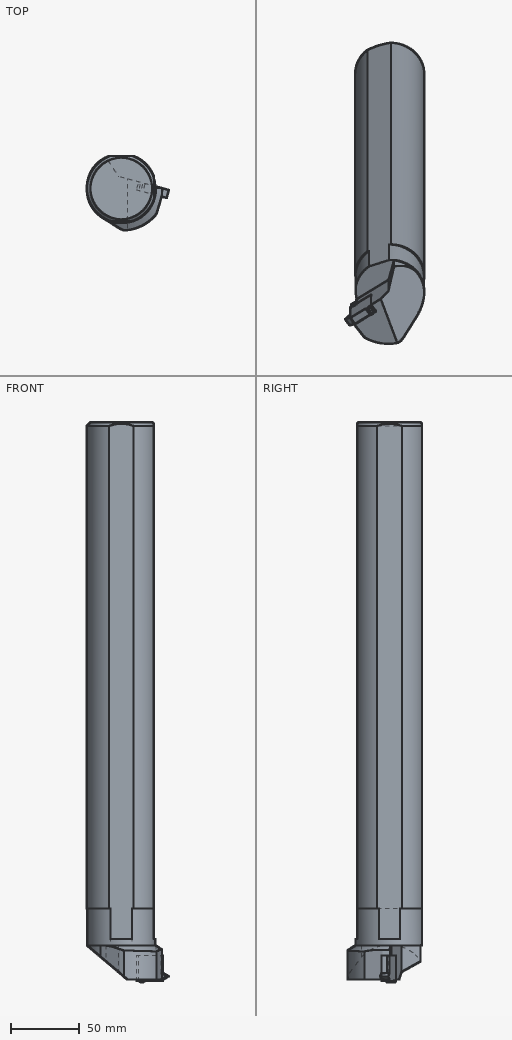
import cadquery as cq
import math

LENGTH = 407.0
SHANK_RADIUS = 25.2
NECK_RADIUS = 25.0
END_CHAMFER = 3.0
FLAT_DISTANCE = 23.5
FLAT_END_Z = 31.8
COLLAR_Z = 53.7
SHOULDER_Z = 27.0

HEAD_BOTTOM_Z = 2.0
RIM_RADIUS = 30.5
RIM_Z = 23.2
WALL_START = (-15.0, -20.5)
WALL_END = (-1.0, -29.5)
NOSE_ARC_START = (2.0, -30.5)
NOSE_ARC_END = (25.5, -18.5)
NOSE_ARC_RADIUS = 31.8
NOSE_FACE_END = (29.7, -5.0)
RELIEF_START_X = -25.0
RELIEF_END_X = 4.5

TIP_X = 34.5
TIP_Y = -1.0
TIP_Z = 4.5
RAKE_ANGLE = 15.0
INSERT_SIZE = 18.5
INSERT_THICKNESS = 6.0
INSERT_BOTTOM_Z = 1.2
TIP_REACH = 4.5
TIP_HALF_HEIGHT = 2.5
LOWER_TIP_OFFSET = 19.5
LOWER_TIP_HALF_WIDTH = 1.5

POCKET_CORNER_X = -2.0
POCKET_WALL_OUTER = (-12.0, 23.5)
CLEARANCE_SPAN = 81.5


def rake_y(x):
    """Y of the rake plane at a given X."""
    return TIP_Y + (TIP_X - x) * math.tan(math.radians(RAKE_ANGLE))


def make_flat_cut(angle, end_z):
    """Material outside the clamping flat that faces the given angle, above end_z."""
    return (
        cq.Workplane("XY")
        .box(CLEARANCE_SPAN, CLEARANCE_SPAN, LENGTH, centered=(False, True, False))
        .translate((FLAT_DISTANCE, 0, end_z))
        .rotate((0, 0, 0), (0, 0, 1), angle)
    )


def make_bar():
    """Chamfered shank and slimmer neck with three clamping flats, the +Y one running the full length."""
    shank = cq.Workplane("XY").workplane(offset=COLLAR_Z).circle(SHANK_RADIUS).extrude(LENGTH - COLLAR_Z)
    shank = shank.faces(">Z").chamfer(END_CHAMFER)
    neck = cq.Workplane("XY").workplane(offset=SHOULDER_Z).circle(NECK_RADIUS).extrude(COLLAR_Z - SHOULDER_Z)
    bar = shank.union(neck)
    for angle, end_z in ((-90, FLAT_END_Z), (0, FLAT_END_Z), (90, SHOULDER_Z)):
        bar = bar.cut(make_flat_cut(angle, end_z))
    return bar


def make_nose():
    """Offset nose of the head under a conical shoulder."""
    cone_slope = (RIM_Z - SHOULDER_Z) / (RIM_RADIUS - SHANK_RADIUS)
    cone_base_z = SHOULDER_Z + cone_slope * (CLEARANCE_SPAN / 2 - SHANK_RADIUS)
    outline = (
        cq.Workplane("XY").workplane(offset=HEAD_BOTTOM_Z)
        .moveTo(0, 0)
        .lineTo(*WALL_START)
        .lineTo(*WALL_END)
        .lineTo(*NOSE_ARC_START)
        .radiusArc(NOSE_ARC_END, -NOSE_ARC_RADIUS)
        .lineTo(*NOSE_FACE_END)
        .lineTo(NOSE_FACE_END[0], rake_y(NOSE_FACE_END[0]))
        .close()
        .extrude(SHOULDER_Z - HEAD_BOTTOM_Z)
    )
    shoulder_envelope = (
        cq.Workplane("XZ")
        .polyline([
            (0, 0), (CLEARANCE_SPAN / 2, 0), (CLEARANCE_SPAN / 2, cone_base_z),
            (SHANK_RADIUS, SHOULDER_Z), (0, SHOULDER_Z),
        ])
        .close()
        .revolve(360, (0, 0, 0), (0, 1, 0))
    )
    return outline.intersect(shoulder_envelope)


def make_underside_cut():
    """Wedge below the sloping underside of the head."""
    slope = (HEAD_BOTTOM_Z - SHOULDER_Z) / (RELIEF_END_X - RELIEF_START_X)
    outer_z = SHOULDER_Z + slope * (-CLEARANCE_SPAN - RELIEF_START_X)
    low_x = RELIEF_END_X - HEAD_BOTTOM_Z / slope
    return (
        cq.Workplane("XZ")
        .polyline([(-CLEARANCE_SPAN, outer_z), (low_x, 0), (-CLEARANCE_SPAN, 0)])
        .close()
        .extrude(CLEARANCE_SPAN, both=True)
    )


def make_chip_pocket():
    """Open space above the rake plane, closed by a slanting wall."""
    return (
        cq.Workplane("XY")
        .polyline([
            (CLEARANCE_SPAN, rake_y(CLEARANCE_SPAN)),
            (POCKET_CORNER_X, rake_y(POCKET_CORNER_X)),
            POCKET_WALL_OUTER,
            (POCKET_WALL_OUTER[0], CLEARANCE_SPAN),
            (CLEARANCE_SPAN, CLEARANCE_SPAN),
        ])
        .close()
        .extrude(SHOULDER_Z)
    )


def make_insert():
    """Square cutting insert with a V tip outward and a small one downward."""
    tilt = math.radians(RAKE_ANGLE)
    rake_plane = cq.Plane(
        origin=(TIP_X, TIP_Y, 0),
        xDir=(math.cos(tilt), -math.sin(tilt), 0),
        normal=(-math.sin(tilt), -math.cos(tilt), 0),
    )
    right = -TIP_REACH
    left = right - INSERT_SIZE
    top = INSERT_BOTTOM_Z + INSERT_SIZE
    return (
        cq.Workplane(rake_plane)
        .polyline([
            (left, INSERT_BOTTOM_Z),
            (-LOWER_TIP_OFFSET - LOWER_TIP_HALF_WIDTH, INSERT_BOTTOM_Z),
            (-LOWER_TIP_OFFSET, 0),
            (-LOWER_TIP_OFFSET + LOWER_TIP_HALF_WIDTH, INSERT_BOTTOM_Z),
            (right, INSERT_BOTTOM_Z),
            (right, TIP_Z - TIP_HALF_HEIGHT),
            (0, TIP_Z),
            (right, TIP_Z + TIP_HALF_HEIGHT),
            (right, top),
            (left, top),
        ])
        .close()
        .extrude(INSERT_THICKNESS)
    )


def make_holder(insert):
    """Boring bar with its head; the +Y flat continues down the relieved and pocketed head."""
    head = (
        cq.Workplane("XY").workplane(offset=HEAD_BOTTOM_Z)
        .circle(SHANK_RADIUS).extrude(SHOULDER_Z - HEAD_BOTTOM_Z)
        .union(make_nose())
        .cut(make_underside_cut())
        .cut(make_chip_pocket())
        .cut(make_flat_cut(90, 0))
    )
    return make_bar().union(head).cut(insert)


insert = make_insert()
holder = make_holder(insert)

result = cq.Compound.makeCompound([holder.val(), insert.val()])